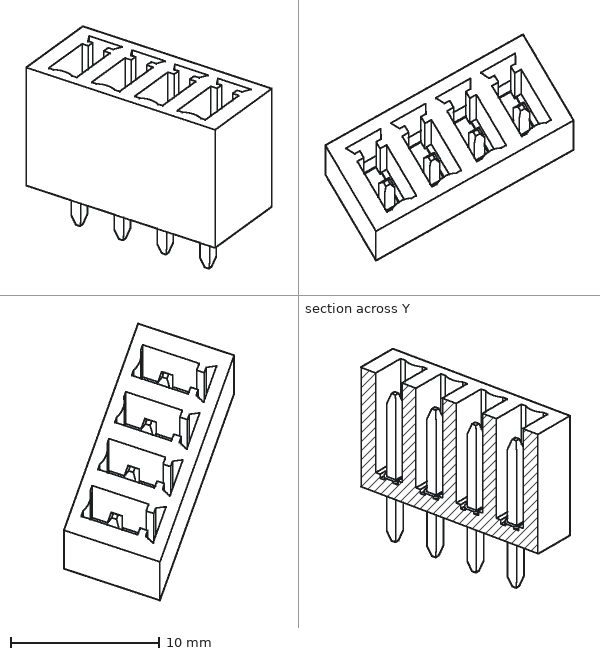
import cadquery as cq

body_length = 15.39
body_depth = 6.86
body_height = 9.14

contact_count = 4
contact_pitch = 3.5
contact_y = -0.63

front_wall_y = -2.65
shoulder_y = 1.39
cavity_half_width = 1.14
neck_half_width = 0.63
ledge_z = 1.54

channel_half_width = 0.75
channel_z = 1.23
rib_bulge = 0.2

dovetail_front_y = 1.92
dovetail_back_y = 2.55
dovetail_front_half_width = 1.03
dovetail_back_half_width = 1.35

collar_radius = 0.74
collar_height = 0.15

pin_width = 0.8
pin_tip_width = 0.34
pin_taper_length = 0.77
pin_bottom_z = -3.55
pin_top_z = 7.7


def floor_slot(half_width, front_y, back_y, floor_z):
    """Rectangular cut from floor_z up to the top of the housing."""
    return (
        cq.Workplane("XY", origin=(0, (front_y + back_y) / 2, floor_z))
        .rect(2 * half_width, back_y - front_y)
        .extrude(body_height - floor_z)
    )


def dovetail_slot():
    """Key slot that widens toward the rear wall."""
    return (
        cq.Workplane("XY", origin=(0, 0, ledge_z))
        .moveTo(-dovetail_front_half_width, dovetail_front_y)
        .lineTo(dovetail_front_half_width, dovetail_front_y)
        .lineTo(dovetail_back_half_width, dovetail_back_y)
        .lineTo(-dovetail_back_half_width, dovetail_back_y)
        .close()
        .extrude(body_height - ledge_z)
    )


def front_rib():
    """Rounded rib that bulges from the front wall into the cavity."""
    return (
        cq.Workplane("XY", origin=(0, 0, channel_z))
        .moveTo(-channel_half_width, front_wall_y)
        .threePointArc((0, front_wall_y + rib_bulge), (channel_half_width, front_wall_y))
        .close()
        .extrude(body_height - channel_z)
    )


def cavity():
    """Complete cut for one contact position."""
    ledges = floor_slot(cavity_half_width, front_wall_y, shoulder_y, ledge_z)
    channel = floor_slot(channel_half_width, front_wall_y, shoulder_y, channel_z)
    neck = floor_slot(neck_half_width, front_wall_y, dovetail_front_y, channel_z)
    return ledges.union(channel).union(neck).union(dovetail_slot()).cut(front_rib())


def pin_taper(base_z, tip_z):
    """Four-sided taper from the full pin section to its blunt tip."""
    return (
        cq.Workplane("XY", origin=(0, contact_y, base_z))
        .rect(pin_width, pin_width)
        .workplane(offset=tip_z - base_z)
        .rect(pin_tip_width, pin_tip_width)
        .loft(ruled=True)
    )


def contact():
    """Pin through the housing floor, with the collar around its foot."""
    shaft_bottom_z = pin_bottom_z + pin_taper_length
    shaft_top_z = pin_top_z - pin_taper_length
    shaft = (
        cq.Workplane("XY", origin=(0, contact_y, shaft_bottom_z))
        .rect(pin_width, pin_width)
        .extrude(shaft_top_z - shaft_bottom_z)
    )
    collar = (
        cq.Workplane("XY", origin=(0, contact_y, 0))
        .circle(collar_radius)
        .extrude(channel_z + collar_height)
    )
    lower_taper = pin_taper(shaft_bottom_z, pin_bottom_z)
    upper_taper = pin_taper(shaft_top_z, pin_top_z)
    return shaft.union(lower_taper).union(upper_taper).union(collar)


result = cq.Workplane("XY").box(body_length, body_depth, body_height, centered=(True, True, False))

for index in range(contact_count):
    contact_x = (index - (contact_count - 1) / 2) * contact_pitch
    result = result.cut(cavity().translate((contact_x, 0, 0)))
    result = result.union(contact().translate((contact_x, 0, 0)))